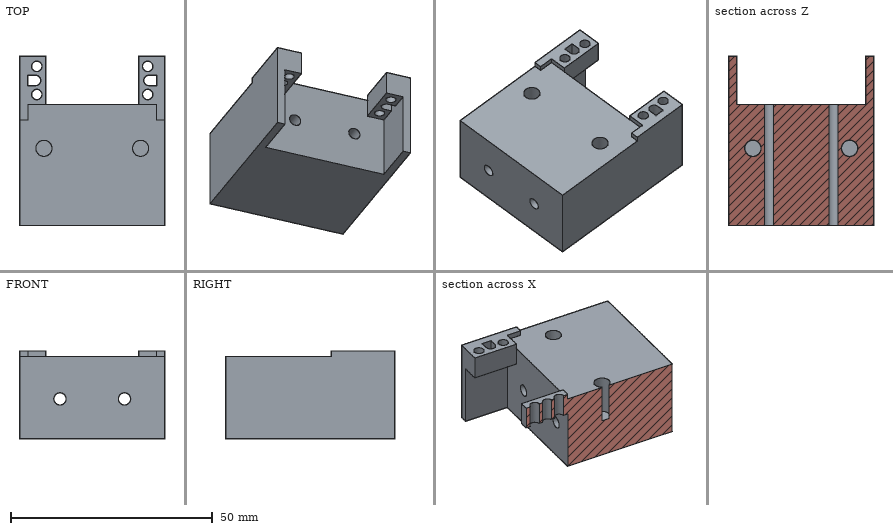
import cadquery as cq

width = 36.0
length = 42.0
height = 21.85
body_length = 30.05
lip_height = 1.35
body_height = height - lip_height

wall_thickness = 2.0
jaw_width = 6.5
jaw_height = 6.0
lip_start = 26.2

pin_diameter = 2.5
pin_inset = 4.25
pin_end_distance = 2.5
pin_pitch = 3.5
slot_round_inset = 3.95

dowel_diameter = 4.0
dowel_depth = 10.1
dowel_inset = 6.0
dowel_y = 19.15
bolt_diameter = 3.0
bolt_spacing = 16.0
bolt_height = 9.9


def block(x, y, z, size_x, size_y, size_z):
    """Box placed by its lowest corner."""
    return cq.Workplane("XY").box(size_x, size_y, size_z, centered=False).translate((x, y, z))


def pin_hole(y):
    """Full-height round cutter at the jaw pin line."""
    return cq.Workplane("XY").center(pin_inset, y).circle(pin_diameter / 2).extrude(height)


def d_slot(y):
    """Full-height D-shaped cutter, flat against the side wall and round toward the gap."""
    radius = pin_diameter / 2
    return (
        cq.Workplane("XY")
        .moveTo(wall_thickness, y - radius)
        .lineTo(slot_round_inset, y - radius)
        .threePointArc((slot_round_inset + radius, y), (slot_round_inset, y + radius))
        .lineTo(wall_thickness, y + radius)
        .close()
        .extrude(height)
    )


def left_arm():
    """Side wall, overhanging jaw and the raised lip that runs back over the body."""
    reach = length - body_length
    wall = block(0, body_length, 0, wall_thickness, reach, height)
    jaw = block(0, body_length, height - jaw_height, jaw_width, reach, jaw_height)
    lip = block(0, lip_start, body_height, wall_thickness, length - lip_start, lip_height)
    arm = wall.union(jaw).union(lip)

    outer_pin_y = length - pin_end_distance
    arm = arm.cut(pin_hole(outer_pin_y))
    arm = arm.cut(d_slot(outer_pin_y - pin_pitch))
    return arm.cut(pin_hole(outer_pin_y - 2 * pin_pitch))


def drilled_body():
    """Main block with blind dowel holes from the top and bolt holes along Y."""
    body = block(0, 0, 0, width, body_length, body_height)
    for x in (dowel_inset, width - dowel_inset):
        dowel = cq.Workplane("XY", origin=(x, dowel_y, body_height)).circle(dowel_diameter / 2)
        body = body.cut(dowel.extrude(-dowel_depth))
    for x in (width / 2 - bolt_spacing / 2, width / 2 + bolt_spacing / 2):
        bolt = cq.Workplane("XZ", origin=(x, 0, bolt_height)).circle(bolt_diameter / 2)
        body = body.cut(bolt.extrude(-body_length))
    return body


arm = left_arm()
opposite_arm = arm.mirror("YZ", (width / 2, 0, 0))
result = drilled_body().union(arm).union(opposite_arm)